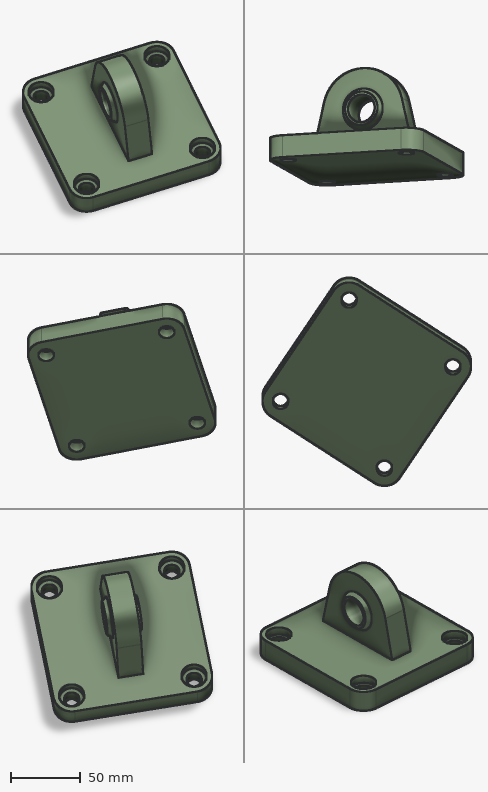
import cadquery as cq
import math

plate_side = 115.0
plate_thickness = 16.0
corner_radius = 13.0

hole_spacing = 89.0
hole_diameter = 11.0
counterbore_diameter = 18.0
counterbore_depth = 6.0

overall_height = 71.0
lug_thickness = 18.0
lug_base_width = 72.9
pivot_height = 40.9
lug_top_radius = overall_height - pivot_height

ball_radius = 17.5
ball_width = 25.1
bore_diameter = 20.0


def ball_blank():
    """Full sphere centred on the pivot, for both the ball and its socket."""
    return cq.Workplane("XY").sphere(ball_radius).translate((0, 0, pivot_height))


def make_plate():
    """Rounded square plate with a counterbored hole in each corner."""
    plate = cq.Workplane("XY").box(
        plate_side, plate_side, plate_thickness, centered=(True, True, False)
    )
    plate = plate.edges("|Z").fillet(corner_radius)
    return (
        plate.faces(">Z")
        .workplane()
        .rect(hole_spacing, hole_spacing, forConstruction=True)
        .vertices()
        .cboreHole(hole_diameter, counterbore_diameter, counterbore_depth)
    )


def make_lug():
    """Tapered lug whose straight flanks run tangent into its round top."""
    half_base = lug_base_width / 2
    pivot_rise = pivot_height - plate_thickness
    corner_distance = math.hypot(half_base, pivot_rise)
    tangent_angle = math.acos(lug_top_radius / corner_distance) - math.atan2(pivot_rise, half_base)
    tangent_x = lug_top_radius * math.cos(tangent_angle)
    tangent_z = pivot_height + lug_top_radius * math.sin(tangent_angle)
    return (
        cq.Workplane("XZ")
        .moveTo(-half_base, plate_thickness)
        .lineTo(half_base, plate_thickness)
        .lineTo(tangent_x, tangent_z)
        .threePointArc((0, overall_height), (-tangent_x, tangent_z))
        .close()
        .extrude(lug_thickness / 2, both=True)
    )


def make_housing():
    """Plate and lug in one piece, with a spherical socket through the lug."""
    return make_plate().union(make_lug()).cut(ball_blank())


def make_ball():
    """Sphere with two flat ends and a bore along Y."""
    flat_ends = cq.Workplane("XY").box(2 * ball_radius, ball_width, 2 * ball_radius)
    flat_ends = flat_ends.translate((0, 0, pivot_height))
    bore = (
        cq.Workplane("XZ")
        .center(0, pivot_height)
        .circle(bore_diameter / 2)
        .extrude(ball_width, both=True)
    )
    return ball_blank().intersect(flat_ends).cut(bore)


housing = make_housing()
ball = make_ball()

result = cq.Compound.makeCompound([*housing.vals(), *ball.vals()])